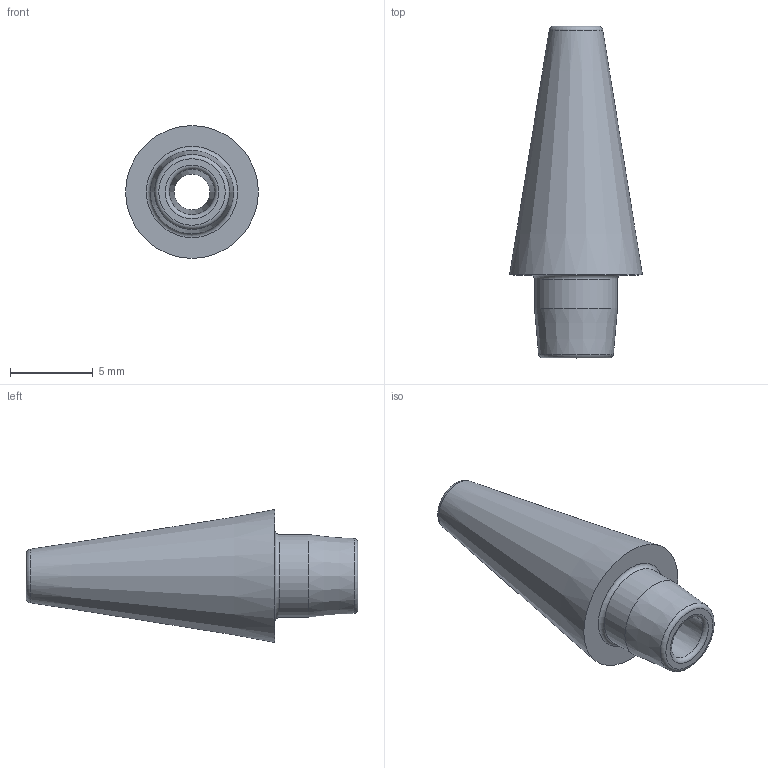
import cadquery as cq

cone_length = 15.0
cone_base_radius = 4.0
cone_end_radius = 1.575
spigot_length = 5.0
spigot_straight_length = 2.0
spigot_radius = 2.5
spigot_end_radius = 2.235
bore_inlet_radius = 1.375
bore_outlet_radius = 1.075
edge_radius = 0.25
cone_rim_radius = 0.3

spigot_end_y = -spigot_length


def body():
    """Long cone with a stepped-down, slightly tapered spigot."""
    profile = (
        cq.Workplane("XY")
        .moveTo(0, spigot_end_y)
        .lineTo(spigot_end_radius, spigot_end_y)
        .lineTo(spigot_radius, -spigot_straight_length)
        .lineTo(spigot_radius, 0)
        .lineTo(cone_base_radius, 0)
        .lineTo(cone_end_radius, cone_length)
        .lineTo(0, cone_length)
        .close()
    )
    return profile.revolve(360, (0, 0, 0), (0, 1, 0))


def bore():
    """Tapered passage running the full length of the part."""
    profile = (
        cq.Workplane("XY")
        .moveTo(0, spigot_end_y)
        .lineTo(bore_inlet_radius, spigot_end_y)
        .lineTo(bore_outlet_radius, cone_length)
        .lineTo(0, cone_length)
        .close()
    )
    return profile.revolve(360, (0, 0, 0), (0, 1, 0))


def circle_at(radius, y):
    """Selector for the circular edge of a given radius around the Y axis."""
    margin = edge_radius / 2
    reach = radius + margin
    return cq.selectors.BoxSelector(
        (-reach, y - margin, -reach), (reach, y + margin, reach), boundingbox=True
    )


solid = body()
solid = solid.edges(circle_at(spigot_radius, 0)).fillet(edge_radius)
solid = solid.edges(circle_at(cone_end_radius, cone_length)).fillet(cone_rim_radius)

solid = solid.cut(bore())
result = solid.faces("<Y").edges().fillet(edge_radius)